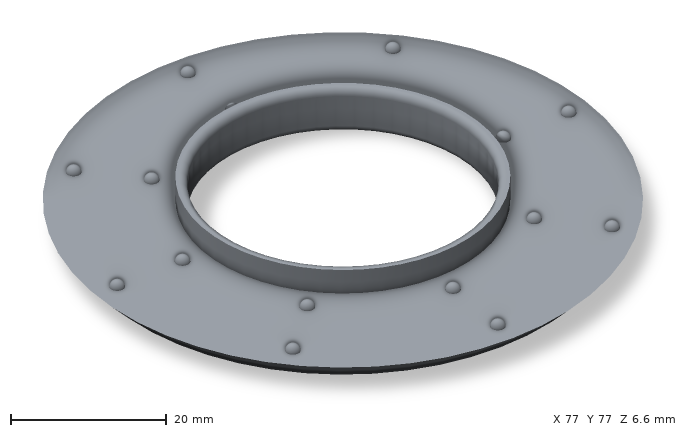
import cadquery as cq

flange_diameter = 77.0
flange_thickness = 3.0
taper_inset = 2.85

overall_height = 6.6
collar_diameter = 43.0
bore_diameter = 40.0
mouth_fillet = 1.0

stud_radius = 1.0
stud_circle_radii = (24.95, 35.1)
studs_per_circle = 8


def make_ring():
    """Revolve the flange and collar section, then round both mouths of the bore."""
    flange_radius = flange_diameter / 2
    collar_radius = collar_diameter / 2
    bore_radius = bore_diameter / 2
    ring = (
        cq.Workplane("XZ")
        .moveTo(bore_radius, 0)
        .lineTo(flange_radius - taper_inset, 0)
        .lineTo(flange_radius, flange_thickness)
        .lineTo(collar_radius, flange_thickness)
        .lineTo(collar_radius, overall_height)
        .lineTo(bore_radius, overall_height)
        .close()
        .revolve(360, (0, 0, 0), (0, 1, 0))
    )
    bore_edges = ring.faces("<Z or >Z").edges(cq.selectors.RadiusNthSelector(0))
    return bore_edges.fillet(mouth_fillet)


def make_studs(circle_radius):
    """Equally spaced balls, half sunk into the top of the flange."""
    return (
        cq.Workplane("XY", origin=(0, 0, flange_thickness))
        .polarArray(circle_radius, 0, 360, studs_per_circle)
        .sphere(stud_radius)
    )


result = make_ring()
for stud_circle_radius in stud_circle_radii:
    result = result.union(make_studs(stud_circle_radius))